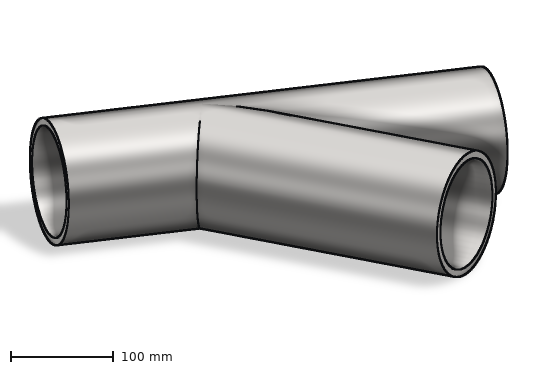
import cadquery as cq
import math

outer_diameter = 125.0
inner_diameter = 110.0
run_length = 448.0
branch_length = 289.0
branch_offset = 156.5
branch_angle = 45.0

run_start = cq.Vector(0, -branch_offset, 0)
run_direction = cq.Vector(0, 1, 0)
branch_start = cq.Vector(0, 0, 0)
branch_direction = cq.Vector(
    math.sin(math.radians(branch_angle)),
    math.cos(math.radians(branch_angle)),
    0,
)


def wye_solid(diameter):
    """Union of the run and branch cylinders at one diameter."""
    radius = diameter / 2
    run = cq.Solid.makeCylinder(radius, run_length, run_start, run_direction)
    branch = cq.Solid.makeCylinder(radius, branch_length, branch_start, branch_direction)
    return cq.Workplane(obj=run).union(cq.Workplane(obj=branch))


result = wye_solid(outer_diameter).cut(wye_solid(inner_diameter))